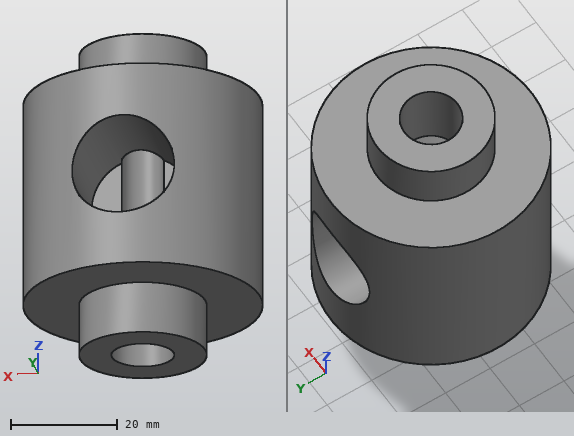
import cadquery as cq
import math

total_height = 60.0
body_diameter = 45.0
body_height = 40.0
boss_diameter = 24.0
bore_diameter = 11.8
bore_depth = 15.0
passage_diameter = 8.0
side_port_diameter = 19.5
drill_tip_angle = 118.0

boss_height = (total_height - body_height) / 2
body_bottom = -body_height / 2
part_bottom = -total_height / 2
part_top = total_height / 2
bore_radius = bore_diameter / 2
passage_radius = passage_diameter / 2
bore_floor = part_top - bore_depth
seat_height = (bore_radius - passage_radius) / math.tan(math.radians(drill_tip_angle / 2))


def cylinder(diameter, height, bottom):
    """Upright cylinder on the Z axis."""
    return cq.Workplane("XY").workplane(offset=bottom).circle(diameter / 2).extrude(height)


def through_bore():
    """Narrow passage widening through conical drill floors to a wide bore at each end."""
    profile = [
        (0, part_bottom),
        (bore_radius, part_bottom),
        (bore_radius, -bore_floor),
        (passage_radius, seat_height - bore_floor),
        (passage_radius, bore_floor - seat_height),
        (bore_radius, bore_floor),
        (bore_radius, part_top),
        (0, part_top),
    ]
    return cq.Workplane("XZ").polyline(profile).close().revolve(360, (0, 0), (0, 1))


def side_port():
    """Radial port from the +Y side, reaching the axis of the central passage."""
    return cq.Workplane("XZ").circle(side_port_diameter / 2).extrude(-body_diameter / 2)


body = cylinder(body_diameter, body_height, body_bottom)
lower_boss = cylinder(boss_diameter, boss_height, part_bottom)
upper_boss = cylinder(boss_diameter, boss_height, part_top - boss_height)

result = body.union(lower_boss).union(upper_boss).cut(through_bore()).cut(side_port())